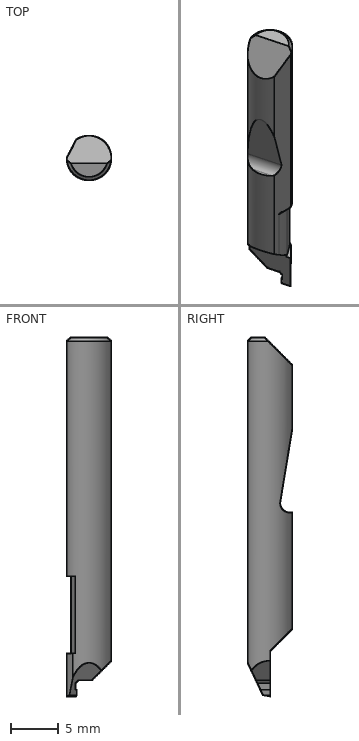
import cadquery as cq

length = 38.1
diameter = 4.75
radius = diameter / 2
end_chamfer = 0.4
margin = 1.9
outside = radius + margin

flat_end_y = 1.95
flat_end_x = -((radius**2 - flat_end_y**2) ** 0.5)
flat_slope = (flat_end_x + radius) / flat_end_y

top_bevel_z = 37.53
rake_face_y = 0.05
back_bevel_z = 4.85

notch_low_z = 19.55
notch_high_z = 28.42
notch_depth = 1.3
notch_radius = 1.0

relief_low_z = 4.57
relief_high_z = 12.75
relief_depth = 0.45
relief_low_y = -1.85
relief_high_y = 1.4
relief_bulge = 0.05

flank_x = -1.7
flank_y = -1.65
clearance_high_z = 3.6
clearance_low_y = -0.75
clearance_low_z = 0.15
side_bevel_z = 3.8
shoulder_z = 1.7
neck_x = -1.4
neck_chamfer = 0.3
tooth_x = -1.3
tooth_height = 0.72
tooth_chamfer = 0.1


def prism_x(points):
    """Prism of a (Y, Z) outline passing through the whole bar along X."""
    return cq.Workplane("YZ").polyline(points).close().extrude(outside, both=True)


def prism_y(points):
    """Prism of an (X, Z) outline passing through the whole bar along Y."""
    return cq.Workplane("XZ").polyline(points).close().extrude(outside, both=True)


def prism_z(points, height):
    """Prism of an (X, Y) outline rising from the tip."""
    return cq.Workplane("XY").polyline(points).close().extrude(height)


def clamping_flat():
    return prism_z(
        [
            (-radius, 0),
            (-radius + flat_slope * outside, outside),
            (-outside, outside),
            (-outside, 0),
        ],
        length,
    )


def top_bevel():
    return prism_x(
        [
            (top_bevel_z - length - margin, length + margin),
            (outside, top_bevel_z - outside),
            (outside, length + margin),
        ]
    )


def back_bevel():
    return prism_x(
        [
            (rake_face_y, -margin),
            (rake_face_y, back_bevel_z),
            (outside, back_bevel_z + outside - rake_face_y),
            (outside, -margin),
        ]
    )


def ramped_notch():
    floor_y = radius - notch_depth
    arc_middle = notch_radius * (1 - 0.5**0.5)
    return (
        cq.Workplane("YZ")
        .moveTo(outside, notch_low_z)
        .lineTo(floor_y + notch_radius, notch_low_z)
        .threePointArc(
            (floor_y + arc_middle, notch_low_z + arc_middle),
            (floor_y, notch_low_z + notch_radius),
        )
        .lineTo(radius, notch_high_z)
        .lineTo(outside, notch_high_z)
        .close()
        .extrude(outside, both=True)
    )


def side_relief():
    """Two bulging walls that meet in a ridge and end on the flat and on the round of the bar."""
    ridge_x = relief_depth - radius
    flat_x = -radius + flat_slope * relief_high_y
    round_x = -((radius**2 - relief_low_y**2) ** 0.5)
    return (
        cq.Workplane("XY", origin=(0, 0, relief_low_z))
        .moveTo(-outside, relief_low_y)
        .lineTo(round_x, relief_low_y)
        .sagittaArc((ridge_x, 0), relief_bulge)
        .sagittaArc((flat_x, relief_high_y), relief_bulge)
        .lineTo(-outside, relief_high_y)
        .close()
        .extrude(relief_high_z - relief_low_z)
    )


def flank_clearance():
    slope = (flank_x + radius) / flank_y
    return prism_z(
        [
            (-radius, 0),
            (-radius - slope * outside, -outside),
            (-outside, -outside),
            (-outside, 0),
        ],
        relief_low_z,
    )


def front_clearance():
    slope = (clearance_high_z - clearance_low_z) / (radius + clearance_low_y)
    return prism_x(
        [
            (-outside, clearance_high_z + slope * margin),
            (clearance_low_y, clearance_low_z),
            (rake_face_y, 0),
            (rake_face_y, -margin),
            (-outside, -margin),
        ]
    )


def tooth_gap():
    shoulder_x = radius - (side_bevel_z - shoulder_z)
    return prism_y(
        [
            (outside, side_bevel_z + margin),
            (shoulder_x, shoulder_z),
            (neck_x + neck_chamfer, shoulder_z),
            (neck_x, shoulder_z - neck_chamfer),
            (neck_x, tooth_height),
            (tooth_x, tooth_height),
            (tooth_x, tooth_chamfer),
            (tooth_x - tooth_chamfer, 0),
            (tooth_x - tooth_chamfer, -margin),
            (outside, -margin),
        ]
    )


bar = cq.Workplane("XY").circle(radius).extrude(length).faces(">Z").chamfer(end_chamfer)

cutters = [
    clamping_flat(),
    top_bevel(),
    back_bevel(),
    ramped_notch(),
    side_relief(),
    flank_clearance(),
    front_clearance(),
    tooth_gap(),
]
result = bar
for cutter in cutters:
    result = result.cut(cutter)